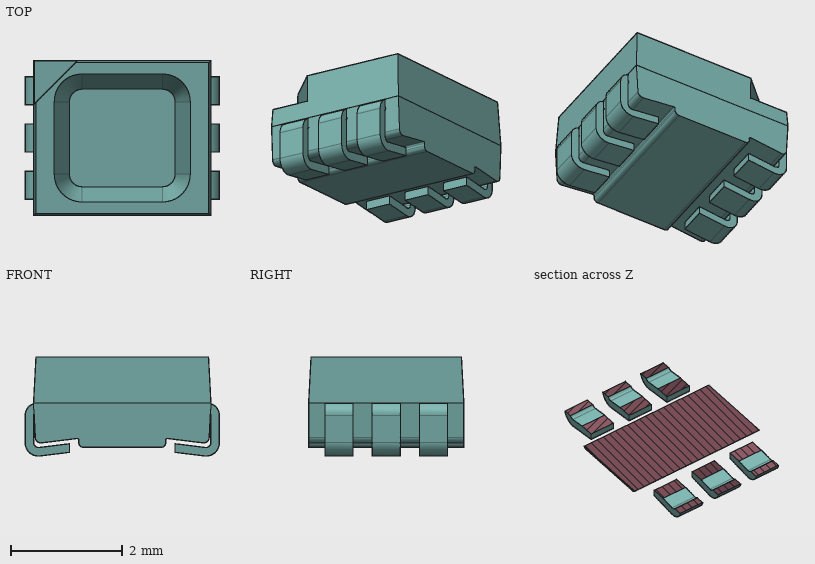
import cadquery as cq
import math

TOTAL_HEIGHT = 1.79
PARTING_Z = 0.955
BASE_BOTTOM_Z = 0.158
HOUSING_HEIGHT = TOTAL_HEIGHT - PARTING_Z
TOTAL_LENGTH = 3.5

BODY_LENGTH = 3.2
BODY_WIDTH = 2.8
DRAFT_ANGLE = 3.0

CAVITY_LENGTH = 2.45
CAVITY_WIDTH = 2.303
CAVITY_CORNER_RADIUS = 0.5
CAVITY_INSET = 0.273

NOTCH_DEPTH = 0.5
NOTCH_LEG = 0.8

FOOT_HALF_LENGTH = 0.785
FLANK_OUTER_Z = 0.225
SLOPE_ANGLE = 7.0
FLANK_CORNER_RADIUS = 0.1
FOOT_EDGE_RADIUS = 0.085
FOOT_ROOT_RADIUS = 0.028

LEAD_THICKNESS = 0.158
LEAD_WIDTH = 0.508
LEAD_PITCH = 0.85
LEADS_PER_SIDE = 3
LEAD_TOP_RADIUS = 0.22
LEAD_HEEL_RADIUS = 0.24
LEAD_TAIL_LENGTH = 0.158
LEAD_TIP_X = 0.95


def make_housing():
    """Drafted frame with a tapered cavity through it and a notched corner."""
    housing = (
        cq.Workplane("XY", origin=(0, 0, PARTING_Z))
        .rect(BODY_LENGTH, BODY_WIDTH)
        .extrude(HOUSING_HEIGHT, taper=DRAFT_ANGLE)
    )
    return housing.cut(make_cavity()).cut(make_notch())


def make_cavity():
    """Rounded funnel whose corners share one centre from top to floor."""
    def outline(inset):
        return cq.Sketch().rect(
            CAVITY_LENGTH - 2 * inset, CAVITY_WIDTH - 2 * inset
        ).vertices().fillet(CAVITY_CORNER_RADIUS - inset)

    return (
        cq.Workplane("XY", origin=(0, 0, PARTING_Z))
        .placeSketch(
            outline(CAVITY_INSET),
            outline(0).moved(cq.Location(cq.Vector(0, 0, HOUSING_HEIGHT))),
        )
        .loft(ruled=True)
    )


def make_notch():
    """Triangular cutter for the polarity notch."""
    corner_x = -BODY_LENGTH / 2
    corner_y = BODY_WIDTH / 2
    return (
        cq.Workplane("XY", origin=(0, 0, TOTAL_HEIGHT - NOTCH_DEPTH))
        .moveTo(corner_x, corner_y)
        .lineTo(corner_x + NOTCH_LEG, corner_y)
        .lineTo(corner_x, corner_y - NOTCH_LEG)
        .close()
        .extrude(NOTCH_DEPTH)
    )


def make_base():
    """Lower body half: one X-Z profile swept across the full width."""
    draft = math.tan(math.radians(DRAFT_ANGLE))
    slope = math.tan(math.radians(SLOPE_ANGLE))
    top_x = BODY_LENGTH / 2
    flank_x = top_x - (PARTING_Z - FLANK_OUTER_Z) * draft
    root_z = FLANK_OUTER_Z + (flank_x - FOOT_HALF_LENGTH) * slope

    right_half = [
        (FOOT_HALF_LENGTH, BASE_BOTTOM_Z),
        (FOOT_HALF_LENGTH, root_z),
        (flank_x, FLANK_OUTER_Z),
        (top_x, PARTING_Z),
    ]
    left_half = [(-x, z) for x, z in reversed(right_half)]
    base = (
        cq.Workplane("XZ")
        .polyline(right_half + left_half)
        .close()
        .extrude(BODY_WIDTH / 2, both=True)
    )

    rounded_edges = [
        (flank_x, FLANK_OUTER_Z, FLANK_CORNER_RADIUS),
        (FOOT_HALF_LENGTH, BASE_BOTTOM_Z, FOOT_EDGE_RADIUS),
        (FOOT_HALF_LENGTH, root_z, FOOT_ROOT_RADIUS),
    ]
    for x, z, radius in rounded_edges:
        for side in (-1, 1):
            edge = cq.selectors.NearestToPointSelector((side * x, 0, z))
            base = base.edges(edge).fillet(radius)
    return base


def make_right_lead(y):
    """Bent strip on the +X side: buried tail, upright arm and sloping foot."""
    outer_x = TOTAL_LENGTH / 2
    inner_x = outer_x - LEAD_THICKNESS

    top_x = outer_x - LEAD_TOP_RADIUS
    top_z = PARTING_Z - LEAD_TOP_RADIUS
    top_inner_radius = LEAD_TOP_RADIUS - LEAD_THICKNESS
    top_middle = 45
    tail_x = top_x - LEAD_TAIL_LENGTH
    tail_under_z = PARTING_Z - LEAD_THICKNESS

    heel_x = outer_x - LEAD_HEEL_RADIUS
    heel_z = LEAD_HEEL_RADIUS
    heel_inner_radius = LEAD_HEEL_RADIUS - LEAD_THICKNESS
    heel_end = -90 - SLOPE_ANGLE
    heel_middle = heel_end / 2

    def on_bend(centre_x, centre_z, radius, angle):
        turn = math.radians(angle)
        return (centre_x + radius * math.cos(turn), centre_z + radius * math.sin(turn))

    def at_tip(point):
        x, z = point
        return (LEAD_TIP_X, z + (x - LEAD_TIP_X) * math.tan(math.radians(SLOPE_ANGLE)))

    sole_start = on_bend(heel_x, heel_z, LEAD_HEEL_RADIUS, heel_end)
    instep_start = on_bend(heel_x, heel_z, heel_inner_radius, heel_end)
    return (
        cq.Workplane("XZ", origin=(0, y, 0))
        .moveTo(tail_x, PARTING_Z)
        .lineTo(top_x, PARTING_Z)
        .threePointArc(on_bend(top_x, top_z, LEAD_TOP_RADIUS, top_middle), (outer_x, top_z))
        .lineTo(outer_x, heel_z)
        .threePointArc(on_bend(heel_x, heel_z, LEAD_HEEL_RADIUS, heel_middle), sole_start)
        .lineTo(*at_tip(sole_start))
        .lineTo(*at_tip(instep_start))
        .lineTo(*instep_start)
        .threePointArc(on_bend(heel_x, heel_z, heel_inner_radius, heel_middle), (inner_x, heel_z))
        .lineTo(inner_x, top_z)
        .threePointArc(on_bend(top_x, top_z, top_inner_radius, top_middle), (top_x, tail_under_z))
        .lineTo(tail_x, tail_under_z)
        .close()
        .extrude(LEAD_WIDTH / 2, both=True)
    )


leads = []
for row in range(LEADS_PER_SIDE):
    lead_y = (row - (LEADS_PER_SIDE - 1) / 2) * LEAD_PITCH
    right_lead = make_right_lead(lead_y)
    leads.append(right_lead)
    leads.append(right_lead.mirror("YZ"))

housing = make_housing()

base = make_base()
for lead in leads:
    base = base.cut(lead)

result = cq.Compound.makeCompound([housing.val(), base.val(), *[lead.val() for lead in leads]])